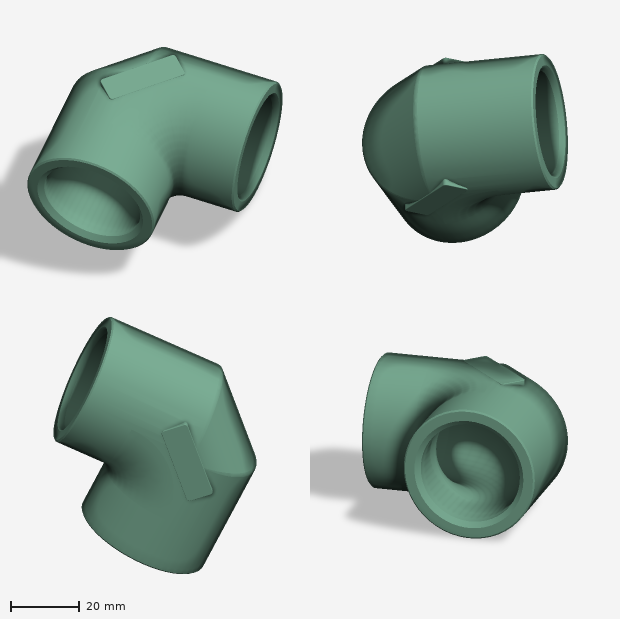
import cadquery as cq
import math


OVERALL = 58.0
OUTER_RADIUS = 20.0
LEG_LENGTH = OVERALL - OUTER_RADIUS
END_CHAMFER = 0.45

HEEL_SETBACK = 2.1
HEEL_FILLET = 2.0
CROTCH_RADIUS = 2.0
BEND_RADIUS = OUTER_RADIUS + CROTCH_RADIUS

BORE_RADIUS = 15.15
BORE_CROTCH_RADIUS = 5.9
BORE_BEND_RADIUS = BORE_RADIUS + BORE_CROTCH_RADIUS
MOUTH_CHAMFER = 1.5

HEIGHT = 40.2
LABEL_LENGTH = 24.0
LABEL_WIDTH = 8.1
LABEL_CORNER_RADIUS = 1.0
LABEL_EDGE_FILLET = 0.2
LABEL_OFFSET = 3.65
LABEL_ANGLE = 45.0


def leg_x(radius, start):
    """Cylinder along X from a start position to the open end."""
    return cq.Workplane("YZ", origin=(start, 0, 0)).circle(radius).extrude(LEG_LENGTH - start)


def leg_y(radius, start):
    """Cylinder along -Y from a start distance to the open end."""
    return cq.Workplane("XZ", origin=(0, -start, 0)).circle(radius).extrude(LEG_LENGTH - start)


def bend(radius, bend_radius):
    """Quarter torus that joins the two legs."""
    axis_start = (-bend_radius, 0, 0)
    axis_end = (-bend_radius, 1, 0)
    section = cq.Workplane("YZ", origin=(bend_radius, 0, 0)).circle(radius)
    return section.revolve(90, axis_start, axis_end)


def heel():
    """Elliptical cylinder at 45 degrees whose cuts square to the legs are leg-sized circles."""
    start = (HEEL_SETBACK - OVERALL, -OVERALL, 0)
    section = cq.Plane(origin=start, xDir=(-1, 1, 0), normal=(1, 1, 0))
    slope = (
        cq.Workplane(section)
        .ellipse(OUTER_RADIUS / math.sqrt(2), OUTER_RADIUS)
        .extrude(2 * OVERALL * math.sqrt(2))
    )
    outer_corner = (
        cq.Workplane("XY")
        .box(OVERALL, OVERALL, OVERALL, centered=(False, False, True))
        .translate((HEEL_SETBACK - OVERALL, -HEEL_SETBACK, 0))
    )
    return slope.intersect(outer_corner)


def crotch_web():
    """Flat-topped fill between the leg axes and the crest of the bend."""
    square = cq.Workplane("XY").rect(BEND_RADIUS, -BEND_RADIUS, centered=False)
    disc = cq.Workplane("XY").center(BEND_RADIUS, -BEND_RADIUS).circle(BEND_RADIUS)
    return square.extrude(OUTER_RADIUS, both=True).cut(disc.extrude(OUTER_RADIUS, both=True))


def at_label(shape):
    """Turn a shape to the label direction and move it to the label centre."""
    shift = LABEL_OFFSET / math.sqrt(2)
    return shape.rotate((0, 0, 0), (0, 0, 1), LABEL_ANGLE).translate((shift, -shift, 0))


def label_pads():
    """Rounded block through the elbow that shows as a raised pad above and below."""
    block = cq.Workplane("XY").box(LABEL_LENGTH, LABEL_WIDTH, HEIGHT)
    block = block.edges("|Z").fillet(LABEL_CORNER_RADIUS)
    return at_label(block.faces("|Z").edges().fillet(LABEL_EDGE_FILLET))


def round_heel_joints(body):
    """Fillet the two creases where the heel meets the legs."""
    margin = 0.005
    reach = OVERALL
    y_leg_crease = cq.selectors.BoxSelector(
        (-reach, -HEEL_SETBACK - margin, -reach),
        (margin, -HEEL_SETBACK + margin, reach),
        boundingbox=True,
    )
    x_leg_crease = cq.selectors.BoxSelector(
        (HEEL_SETBACK - margin, -margin, -reach),
        (HEEL_SETBACK + margin, reach, reach),
        boundingbox=True,
    )
    return body.edges(y_leg_crease + x_leg_crease).fillet(HEEL_FILLET)


def bore():
    """Bent through passage with a conical lead-in at each mouth."""
    passage = bend(BORE_RADIUS, BORE_BEND_RADIUS)
    passage = passage.union(leg_x(BORE_RADIUS, BORE_BEND_RADIUS))
    passage = passage.union(leg_y(BORE_RADIUS, BORE_BEND_RADIUS))
    mouth_radius = BORE_RADIUS + MOUTH_CHAMFER
    cone_start = LEG_LENGTH - MOUTH_CHAMFER
    for direction in (cq.Vector(1, 0, 0), cq.Vector(0, -1, 0)):
        lead_in = cq.Solid.makeCone(
            BORE_RADIUS, mouth_radius, MOUTH_CHAMFER, direction * cone_start, direction
        )
        passage = passage.union(cq.Workplane(lead_in))
    return passage


body = heel()
body = body.union(leg_x(OUTER_RADIUS, HEEL_SETBACK))
body = body.union(leg_y(OUTER_RADIUS, HEEL_SETBACK))
body = body.union(crotch_web())
body = body.union(label_pads())
body = round_heel_joints(body)
body = body.union(bend(OUTER_RADIUS, BEND_RADIUS))
body = body.faces(">X or <Y").edges().chamfer(END_CHAMFER)

result = body.cut(bore())